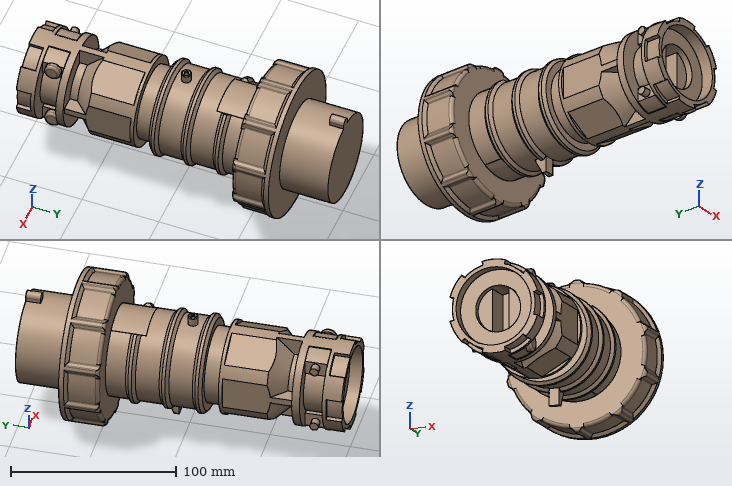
import cadquery as cq
import math


body_end = 203.2
body_radius = 28.7
neck_radius = 23.8
neck_start = 76.6
bead_base_width = 6.0
bead_crest_width = 2.0
bead_radius = 30.7
bead_centers = (89.8, 110.5)
open_bead_center = 131.5
open_bead_half_gap = 16.3
pad_half_width = 14.5
pad_height = 0.1
pad_start = 125.2
lower_pad_start = open_bead_center + bead_crest_width / 2
lower_pad_half_width = 13.2
key_width = 6.0
key_length = 9.3
key_top = 34.0
hook_width = 6.5
hook_rear = bead_centers[1] - bead_base_width / 2
hook_tip_length = 3.0
hook_root_length = 8.7
hook_depth = 39.2
hook_embedding = 2.0

button_radius = 3.0
button_top = 34.3
button_foot = 24.4
button_y = 99.5
button_edge = 0.6
button_hole_radius = 1.2
button_hole_depth = 1.0

ring_rear = 147.1
ring_front = 171.7
ring_radius = 94.0 / 2
flange_rear = 168.7
panel_radius = 45.0
rib_count = 10
rib_crest_width = 2.8
rib_foot_width = 7.3
rib_span = 9.0
rib_fillet = 1.2
ring_rear_rounding = 2.2

gland_radius = 29.0
gland_collar_rear = 74.4
hex_apothem = 27.0
waist_radius = 18.3
waist_cone_start = 46.7
waist_cone_end = waist_cone_start - (gland_radius - waist_radius)
waist_rib_width = 4.3
disc_front = 30.9
window_front = 26.0
window_rear = 12.0
core_radius = 19.3
clamp_radius = 28.5
clamp_inset = 15.0
spine_width = 10.4
notch_count = 6
notch_angle = 30.0
notch_length = 9.5
notch_floor_radius = 26.6
mouth_radius = 24.2
mouth_depth = 8.0
bore_radius = 14.5
bore_depth = 12.2
slot_width = 10.5
slot_depth = disc_front

screw_y = 19.3
screw_z = 20.5
shank_radius = 2.6
shank_tip = 20.0
head_radius = 5.0
head_height = 3.9
head_rounding = 1.6

CLEAR = 4.0


def revolve(points):
    """Solid of revolution about Y from (radius, y) points."""
    return cq.Workplane("XY").polyline(points).close().revolve(360, (0, 0, 0), (0, 1, 0))


def disc(radius, rear, front):
    """Cylinder on the Y axis."""
    return revolve([(0, rear), (radius, rear), (radius, front), (0, front)])


def block(x_range, y_range, z_range):
    """Box given by its lower and upper limit on each axis."""
    lows, highs = zip(x_range, y_range, z_range)
    size = [high - low for low, high in zip(lows, highs)]
    return cq.Workplane("XY").box(*size, centered=False).translate(lows)


def along_y(points, rear, front):
    """Prism along Y from an outline of (x, z) points."""
    sketch = cq.Workplane("XZ", origin=(0, rear, 0)).polyline(points).close()
    return sketch.extrude(rear - front)


def turned(shape, index, count):
    """The shape turned about Y to one of `count` equal divisions."""
    return shape.rotate((0, 0, 0), (0, 1, 0), index * 360 / count)


def bead(center):
    base = bead_base_width / 2
    crest = bead_crest_width / 2
    return revolve([
        (0, center - base),
        (body_radius, center - base),
        (bead_radius, center - crest),
        (bead_radius, center + crest),
        (body_radius, center + base),
        (0, center + base),
    ])


def open_bead():
    """Bead with a gap for the label pad, with sloping ends."""
    foot = math.sqrt(body_radius**2 - pad_half_width**2)
    crest = math.sqrt(bead_radius**2 - open_bead_half_gap**2)
    past_crest = 3
    outer_x = pad_half_width + past_crest * (open_bead_half_gap - pad_half_width)
    outer_z = foot + past_crest * (crest - foot)
    top = bead_radius + CLEAR
    gap = along_y([
        (-pad_half_width, 0),
        (pad_half_width, 0),
        (pad_half_width, foot),
        (outer_x, outer_z),
        (outer_x, top),
        (-outer_x, top),
        (-outer_x, outer_z),
        (-pad_half_width, foot),
    ], open_bead_center - bead_base_width, open_bead_center + bead_base_width)
    lower_gap = block(
        (-lower_pad_half_width, lower_pad_half_width),
        (lower_pad_start, ring_rear),
        (-top, -body_radius / 2),
    ).cut(disc(body_radius, lower_pad_start, ring_rear))
    return bead(open_bead_center).cut(gap).cut(lower_gap)


def label_pads():
    """Slightly raised pads at the top and underneath."""
    raised = disc(body_radius + pad_height, pad_start, ring_rear)
    reach = body_radius + CLEAR
    upper = block((-pad_half_width, pad_half_width), (pad_start, ring_rear), (0, reach))
    lower = block((-lower_pad_half_width, lower_pad_half_width), (lower_pad_start, ring_rear), (-reach, 0))
    return raised.intersect(upper.union(lower))


def key():
    """Round-topped polarity key at the mating end."""
    half = key_width / 2
    shoulder = key_top - half
    sketch = (
        cq.Workplane("XZ", origin=(0, body_end, 0))
        .moveTo(-half, 0)
        .lineTo(half, 0)
        .lineTo(half, shoulder)
        .threePointArc((0, key_top), (-half, shoulder))
        .close()
    )
    return sketch.extrude(key_length)


def hook():
    """Wedge under the body that holds the closing cap."""
    root = -body_radius + hook_embedding
    slope = (hook_root_length - hook_tip_length) / (hook_depth - body_radius)
    root_front = hook_rear + hook_root_length + slope * hook_embedding
    sketch = cq.Workplane("YZ", origin=(-hook_width / 2, 0, 0)).polyline([
        (hook_rear, root),
        (root_front, root),
        (hook_rear + hook_tip_length, -hook_depth),
        (hook_rear, -hook_depth),
    ]).close()
    return sketch.extrude(hook_width)


def make_button():
    button = cq.Workplane("XY", origin=(0, button_y, button_foot)).circle(button_radius)
    button = button.extrude(button_top - button_foot)
    button = button.faces(">Z").edges().chamfer(button_edge)
    return button.faces(">Z").workplane().hole(2 * button_hole_radius, button_hole_depth)


def make_plug_body():
    rear = bead_centers[0] - bead_base_width / 2
    body = disc(body_radius, rear, body_end).union(disc(neck_radius, neck_start, rear))
    for center in bead_centers:
        body = body.union(bead(center))
    body = body.union(open_bead()).union(label_pads())
    body = body.union(key()).union(hook())
    button_seat = cq.Workplane("XY", origin=(0, button_y, button_foot)).circle(button_radius)
    return body.cut(button_seat.extrude(button_top - button_foot))


def rounded_disc(radius):
    """Disc behind the ring flange with its rear edge rounded."""
    return disc(radius, ring_rear, flange_rear).faces("<Y").edges().fillet(ring_rear_rounding)


def grip_rib():
    """Rib at the top of the ring, with sloping sides that run out into the panels."""
    span = rib_span / 2
    foot = rib_foot_width / 2
    crest = rib_crest_width / 2
    floor = panel_radius - 2 * ring_rear_rounding
    foot_z = math.sqrt(panel_radius**2 - span**2)
    rib = along_y([
        (-span, floor),
        (span, floor),
        (span, foot_z),
        (foot, foot_z),
        (crest, ring_radius),
        (-crest, ring_radius),
        (-foot, foot_z),
        (-span, foot_z),
    ], ring_rear, flange_rear)
    middle = (foot + span) / 2
    beside_foot = (-middle, ring_rear, (floor + foot_z) / 2)
    above_crest = (middle, flange_rear, ring_radius + CLEAR)
    flank_edges = cq.selectors.BoxSelector(beside_foot, above_crest)
    rib = rib.edges("|Y").edges(flank_edges).fillet(rib_fillet)
    return rib.intersect(rounded_disc(ring_radius))


def make_coupling_ring():
    rise = ring_radius - panel_radius
    flange = revolve([
        (0, flange_rear - rise),
        (panel_radius, flange_rear - rise),
        (ring_radius, flange_rear),
        (ring_radius, ring_front),
        (0, ring_front),
    ])
    ring = rounded_disc(panel_radius).union(flange)
    for index in range(rib_count):
        ring = ring.union(turned(grip_rib(), index, rib_count))
    return ring.cut(disc(body_radius, ring_rear, ring_front))


def hexagonal_section():
    hexagon = cq.Workplane("XZ", origin=(0, disc_front, 0)).polygon(6, 2 * hex_apothem, circumscribed=True)
    prism = hexagon.extrude(disc_front - gland_collar_rear)
    return prism.intersect(disc(gland_radius, disc_front, gland_collar_rear))


def waist_cut():
    """Conical waist behind the hexagon, leaving four ribs."""
    outside = gland_radius + CLEAR
    cut = revolve([
        (waist_radius, disc_front),
        (outside, disc_front),
        (outside, waist_cone_start + CLEAR),
        (waist_radius, waist_cone_end),
    ])
    half = waist_rib_width / 2
    thin = (-half, half)
    wide = (-2 * outside, 2 * outside)
    length = (disc_front, waist_cone_start + CLEAR)
    return cut.cut(block(thin, length, wide)).cut(block(wide, length, thin))


def window_cut():
    """Openings around the cable clamp, leaving its core, clamp blocks and two spines."""
    length = (window_rear, window_front)
    reach = gland_radius + CLEAR
    spine = block((-spine_width / 2, spine_width / 2), length, (-reach, reach))
    cut = disc(reach, *length).cut(disc(core_radius, *length)).cut(spine)
    clamp = disc(clamp_radius, *length)
    for z_range in ((clamp_inset, reach), (-reach, -clamp_inset)):
        cut = cut.cut(clamp.intersect(block((-clamp_inset, clamp_inset), length, z_range)))
    return cut


def notch():
    """Sector-shaped notch in the cable-end rim, on the +X side."""
    reach = gland_radius + CLEAR
    spread = reach * math.tan(math.radians(notch_angle / 2))
    wedge = along_y([(0, 0), (reach, -spread), (reach, spread)], 0, notch_length)
    return wedge.cut(disc(notch_floor_radius, 0, notch_length))


def cable_entry():
    """Stepped cable entry that narrows to a vertical slot."""
    slot = disc(bore_radius, 0, slot_depth).intersect(
        block((-slot_width / 2, slot_width / 2), (0, slot_depth), (-bore_radius, bore_radius))
    )
    return disc(mouth_radius, 0, mouth_depth).union(disc(bore_radius, 0, bore_depth)).union(slot)


def make_gland():
    gland = disc(gland_radius, 0, disc_front).union(hexagonal_section())
    gland = gland.union(disc(gland_radius, gland_collar_rear, neck_start))
    gland = gland.cut(waist_cut()).cut(window_cut()).cut(cable_entry())
    for index in range(notch_count):
        gland = gland.cut(turned(notch(), index, notch_count))
    return gland


def make_screw(z):
    """Clamp screw along X with its domed head on the +X side."""
    start = (-shank_tip, screw_y, z)
    shank = cq.Workplane("YZ", origin=start).circle(shank_radius).extrude(shank_tip + clamp_inset)
    head = cq.Workplane("YZ", origin=(clamp_inset, screw_y, z)).circle(head_radius).extrude(head_height)
    return shank.union(head.faces(">X").edges().fillet(head_rounding))


plug_body = make_plug_body()
button = make_button()
coupling_ring = make_coupling_ring()
screws = [make_screw(z) for z in (-screw_z, screw_z)]
gland = make_gland()
for screw in screws:
    gland = gland.cut(screw)

result = cq.Compound.makeCompound([
    plug_body.val(),
    button.val(),
    coupling_ring.val(),
    gland.val(),
    *[screw.val() for screw in screws],
])